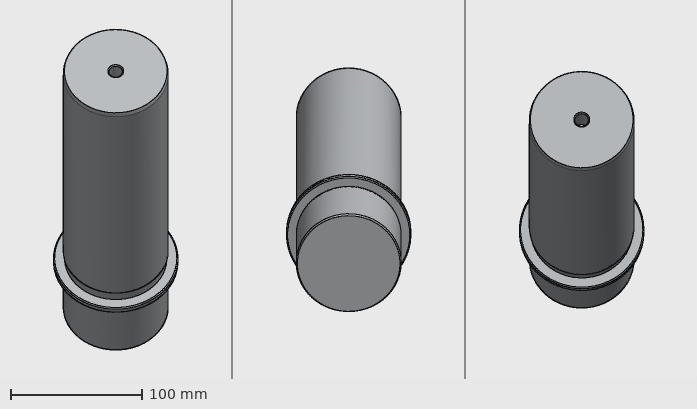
import cadquery as cq

total_height = 310.0
body_diameter = 80.0
flange_diameter = 95.0
neck_diameter = 78.0
flange_bottom = 60.0
flange_thickness = 6.0
neck_top = 74.7
edge_break = 1.0
bottom_chamfer_height = 2.0
top_taper_height = 3.7

hole_diameter = 10.2
hole_mouth_diameter = 12.0
hole_depth = 24.8

body_radius = body_diameter / 2
body_end_radius = body_radius - edge_break
neck_radius = neck_diameter / 2
flange_radius = flange_diameter / 2
flange_top = flange_bottom + flange_thickness


def turned_body():
    """Revolve the half section (radius, height) of the pin about Z."""
    half_section = [
        (0, 0),
        (body_end_radius, 0),
        (body_radius, bottom_chamfer_height),
        (body_radius, flange_bottom - edge_break),
        (body_end_radius, flange_bottom),
        (flange_radius - edge_break, flange_bottom),
        (flange_radius, flange_bottom + edge_break),
        (flange_radius, flange_top - edge_break),
        (flange_radius - edge_break, flange_top),
        (neck_radius, flange_top),
        (neck_radius, neck_top),
        (body_radius, neck_top + edge_break),
        (body_radius, total_height - top_taper_height),
        (body_end_radius, total_height),
        (0, total_height),
    ]
    return cq.Workplane("XZ").polyline(half_section).close().revolve(360, (0, 0), (0, 1))


def top_hole():
    """Blind hole with a 45 degree countersunk mouth."""
    hole_radius = hole_diameter / 2
    mouth_radius = hole_mouth_diameter / 2
    countersink_depth = mouth_radius - hole_radius
    half_section = [
        (0, total_height - hole_depth),
        (hole_radius, total_height - hole_depth),
        (hole_radius, total_height - countersink_depth),
        (mouth_radius, total_height),
        (0, total_height),
    ]
    return cq.Workplane("XZ").polyline(half_section).close().revolve(360, (0, 0), (0, 1))


result = turned_body().cut(top_hole())